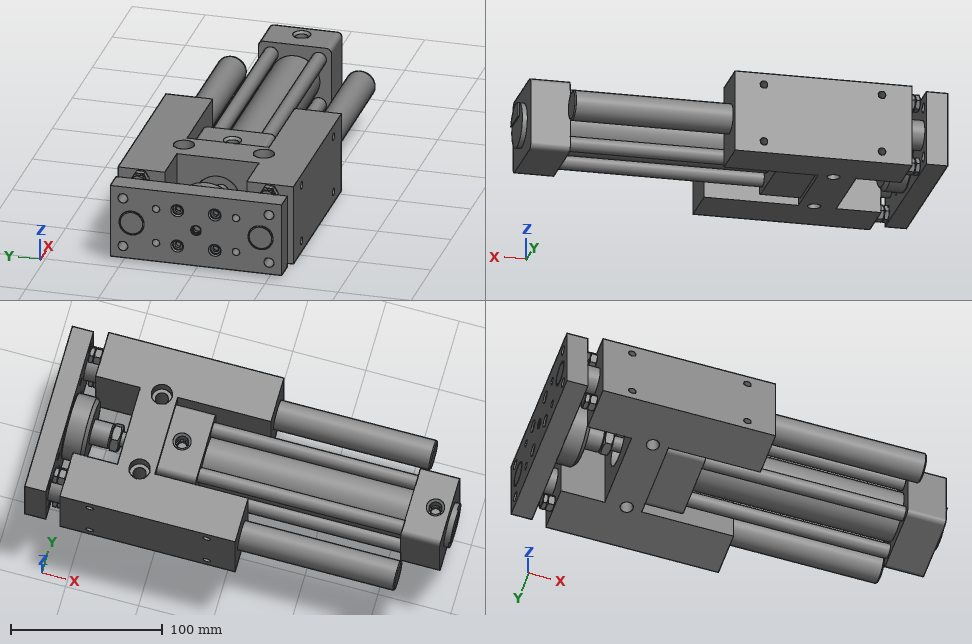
import cadquery as cq
import math


plate_thickness = 14.5
housing_front = 24.5
housing_length = 120.0
crossbar_front = 55.0
crossbar_rear = 80.5
front_head_rear = 107.7
rear_head_front = 248.0
rear_head_rear = 274.8
guide_rod_end = 251.7
overall_length = 279.0

housing_width = 120.0
housing_height = 56.0
slot_width = 56.0
mount_hole_x = 70.0
mount_hole_y = 27.3
mount_hole_dia = 8.6
mount_counterbore_dia = 14.0
mount_counterbore_depth = 9.0
side_hole_dia = 5.0
side_hole_depth = 10.0
side_hole_first_x = 45.0
side_hole_spacing_x = 80.0
side_hole_z = 20.0
nose_bore_dia = 30.0
nose_bore_depth = 9.2

screw_z = 22.3
screw_hex_flats = 10.0
screw_nut_thickness = 5.0
screw_head_thickness = 3.3

hex_end_ratio = 0.92
hex_cone_angle = math.radians(30)

head_size = 50.0
head_fillet = 3.5
tube_dia = 34.0
tie_rod_dia = 10.0
tie_rod_offset = 16.5
port_dia = 8.6
port_mouth_dia = 12.0
port_depth = 8.0
port_inner_dia = 6.7
port_inner_depth = 11.2
port_front_x = 91.5
port_rear_x = 265.0
boss_dia = 30.0
boss_base_end = 278.2
pad_corner_y = 6.5
pad_corner_z = 4.2

plate_width = 117.2
plate_height = 51.3
guide_rod_dia = 20.0
guide_rod_y = 44.0
guide_rod_chamfer = 0.8
rod_seat_dia = 17.0
seat_groove = 0.8
corner_hole_dia = 6.7
corner_hole_y = 50.0
corner_hole_z = 17.3
pin_hole_dia = 5.0
pin_hole_y = 27.3
pin_hole_z = 12.3
flange_screw_offset = 12.8
flange_screw_mouth_dia = 8.6
flange_screw_bore_dia = 6.7
flange_screw_socket_dia = 4.0
center_screw_mouth_dia = 7.3
center_screw_bore_dia = 6.0
center_screw_socket_dia = 5.0
plate_bore_depth = 2.2
plate_socket_depth = 4.5
flange_dia = 45.0
flange_end = 30.0
flange_chamfer = 2.5
flange_edge_break = 0.8
neck_dia = 17.0
neck_chamfer = 0.8
nut_front = 43.5
nut_rear = 50.0
nut_flats = 17.0
piston_rod_dia = 10.0


def box_between(x_start, x_end, width, height):
    """Block centred on the X axis between two X positions."""
    return cq.Workplane("XY").box(x_end - x_start, width, height).translate(((x_start + x_end) / 2, 0, 0))


def x_cylinder(diameter, x_start, x_end, y=0.0, z=0.0):
    """Round bar parallel to X."""
    plane = cq.Workplane("YZ", origin=(x_start, y, z))
    return plane.circle(diameter / 2).extrude(x_end - x_start)


def x_hexagon(flats, x_start, x_end, y=0.0, z=0.0):
    """Hexagon along X with corners at +Y and -Y, its corners turned off to a cone at both ends."""
    corners = flats / math.cos(math.pi / 6)
    plane = cq.Workplane("YZ", origin=(x_start, y, z))
    hexagon = plane.polygon(6, corners).extrude(x_end - x_start)
    side_step = (corners - hex_end_ratio * flats) / 2
    end_step = side_step * math.tan(hex_cone_angle)
    turned = x_cylinder(corners, x_start, x_end, y, z)
    turned = turned.faces("<X").chamfer(end_step, side_step).faces(">X").chamfer(end_step, side_step)
    return hexagon.intersect(turned)


def stepped_hole(plane, mouth_dia, bore_dia, bore_depth, inner_dia, inner_depth):
    """Cutter for a 45-degree countersunk bore with a narrower hole in its floor.

    It sinks against the plane's normal.
    """
    mouth_depth = (mouth_dia - bore_dia) / 2
    mouth = plane.circle(mouth_dia / 2).extrude(-mouth_depth, taper=45)
    bore = plane.circle(bore_dia / 2).extrude(-bore_depth)
    inner = plane.circle(inner_dia / 2).extrude(-inner_depth)
    return mouth.union(bore).union(inner)


def both_signs(y, z):
    """The four (y, z) points mirrored about both axes."""
    return [(sy * y, sz * z) for sy in (-1, 1) for sz in (-1, 1)]


def make_housing():
    housing_rear = housing_front + housing_length
    body = box_between(housing_front, housing_rear, housing_width, housing_height)
    body = body.cut(box_between(housing_front, crossbar_front, slot_width, housing_height))
    body = body.cut(box_between(crossbar_rear, housing_rear, slot_width, housing_height))
    body = body.cut(x_cylinder(nose_bore_dia, crossbar_front, crossbar_front + nose_bore_depth))
    body = body.cut(x_cylinder(piston_rod_dia, crossbar_front, crossbar_rear))
    for y in (-guide_rod_y, guide_rod_y):
        body = body.cut(x_cylinder(guide_rod_dia, housing_front, housing_rear, y))
    body = (
        body.faces(">Z").workplane(origin=(mount_hole_x, 0, 0))
        .pushPoints([(0, -mount_hole_y), (0, mount_hole_y)])
        .cboreHole(mount_hole_dia, mount_counterbore_dia, mount_counterbore_depth)
    )
    for x in (side_hole_first_x, side_hole_first_x + side_hole_spacing_x):
        for z in (-side_hole_z, side_hole_z):
            for side in (-1, 1):
                start = cq.Workplane("XZ", origin=(x, side * housing_width / 2, z))
                body = body.cut(start.circle(side_hole_dia / 2).extrude(side * side_hole_depth))
    return body


def make_stop_screw(y, z):
    """Lock nut against the housing front with a hexagon head before it."""
    nut_start = housing_front - screw_nut_thickness
    nut = x_hexagon(screw_hex_flats, nut_start, housing_front, y, z)
    return nut.union(x_hexagon(screw_hex_flats, nut_start - screw_head_thickness, nut_start, y, z))


def make_head(x_start, x_end, port_x):
    head = box_between(x_start, x_end, head_size, head_size).edges("|X").fillet(head_fillet)
    top = cq.Workplane("XY", origin=(port_x, 0, head_size / 2))
    return head.cut(stepped_hole(top, port_mouth_dia, port_dia, port_depth, port_inner_dia, port_inner_depth))


def make_rear_boss():
    """Round boss with a thin raised pad over one corner of its end face."""
    boss = x_cylinder(boss_dia, rear_head_rear, boss_base_end)
    pad = x_cylinder(boss_dia, boss_base_end, overall_length)
    corner = cq.Workplane("XY").box(overall_length, boss_dia, boss_dia, centered=False)
    pad = pad.intersect(corner.translate((boss_base_end, pad_corner_y - boss_dia, pad_corner_z)))
    return boss.union(pad)


def make_cylinder():
    cylinder = make_head(crossbar_rear, front_head_rear, port_front_x)
    cylinder = cylinder.union(make_head(rear_head_front, rear_head_rear, port_rear_x))
    cylinder = cylinder.union(x_cylinder(tube_dia, front_head_rear, rear_head_front))
    for y, z in both_signs(tie_rod_offset, tie_rod_offset):
        cylinder = cylinder.union(x_cylinder(tie_rod_dia, front_head_rear, rear_head_front, y, z))
    return cylinder.union(make_rear_boss())


def make_fixed_body():
    body = make_housing().union(make_cylinder())
    for y, z in both_signs(guide_rod_y, screw_z):
        body = body.union(make_stop_screw(y, z))
    return body


def plate_face(y, z):
    """Workplane on the outer plate face, its normal pointing out along -X."""
    return cq.Workplane(cq.Plane(origin=(0, y, z), xDir=(0, 1, 0), normal=(-1, 0, 0)))


def make_seat_groove(y):
    """Cutter for the V-shaped ring around a guide rod seat."""
    face = plate_face(y, 0)
    ring = face.circle(rod_seat_dia / 2).extrude(-seat_groove)
    plug = face.circle(rod_seat_dia / 2 - seat_groove).extrude(-seat_groove, taper=-45)
    return ring.cut(plug)


def make_plate():
    plate = box_between(0, plate_thickness, plate_width, plate_height)
    for y, z in both_signs(corner_hole_y, corner_hole_z):
        plate = plate.cut(x_cylinder(corner_hole_dia, 0, plate_thickness, y, z))
    for y, z in both_signs(pin_hole_y, pin_hole_z):
        plate = plate.cut(x_cylinder(pin_hole_dia, 0, plate_thickness, y, z))
    for y, z in both_signs(flange_screw_offset, flange_screw_offset):
        plate = plate.cut(
            stepped_hole(
                plate_face(y, z), flange_screw_mouth_dia, flange_screw_bore_dia, plate_bore_depth,
                flange_screw_socket_dia, plate_socket_depth,
            )
        )
    plate = plate.cut(
        stepped_hole(
            plate_face(0, 0), center_screw_mouth_dia, center_screw_bore_dia, plate_bore_depth,
            center_screw_socket_dia, plate_socket_depth,
        )
    )
    for y in (-guide_rod_y, guide_rod_y):
        plate = plate.cut(make_seat_groove(y))
    return plate


def make_coupling():
    flange = x_cylinder(flange_dia, plate_thickness, flange_end)
    flange = flange.faces(">X").chamfer(flange_chamfer).faces("<X").chamfer(flange_edge_break)
    neck = x_cylinder(neck_dia, flange_end, nut_front).faces(">X").chamfer(neck_chamfer)
    return flange.union(neck).union(x_hexagon(nut_flats, nut_front, nut_rear))


def make_carriage():
    carriage = make_plate()
    for y in (-guide_rod_y, guide_rod_y):
        rod = x_cylinder(guide_rod_dia, plate_thickness, guide_rod_end, y)
        carriage = carriage.union(rod.faces(">X").chamfer(guide_rod_chamfer))
    carriage = carriage.union(make_coupling())
    return carriage.union(x_cylinder(piston_rod_dia, nut_rear, crossbar_rear))


fixed_body = make_fixed_body()
carriage = make_carriage()
result = cq.Compound.makeCompound([fixed_body.val(), carriage.val()])